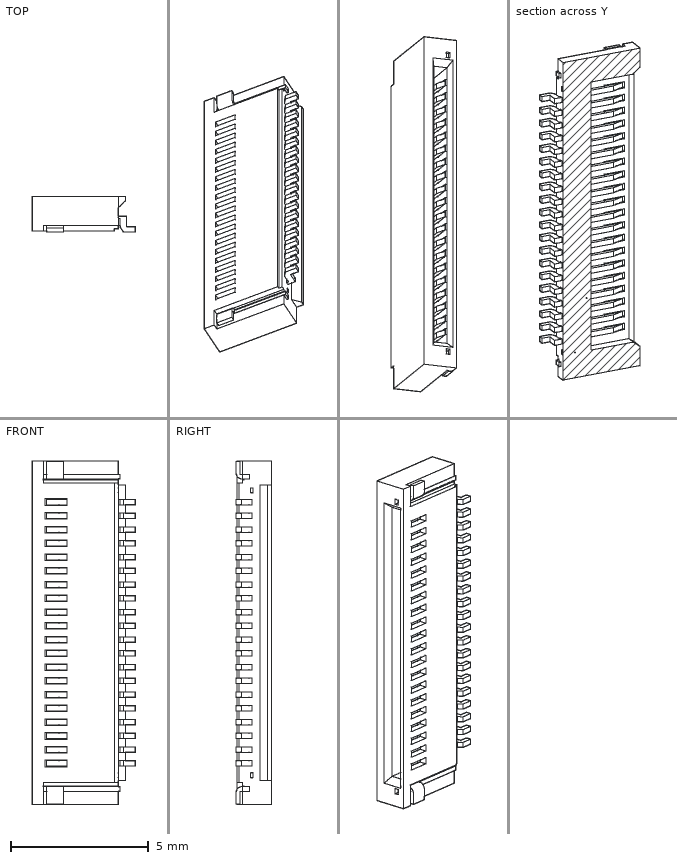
import cadquery as cq


height = 1.30
length = 12.5
depth = 3.13
standoff = 0.035
half_length = length / 2

embed = 0.10

end_step_start = 0.41
end_step_width = 0.80
end_step_floor = 0.25

rear_step_depth = 0.14
rear_step_floor = 0.12

lip_reach = 0.27
lip_edge = 0.15
lip_end_margin = 0.875
lip_length = length - 2 * lip_end_margin

mouth_bottom = 0.17
mouth_top = 0.955
mouth_end_wall = 0.77
flare_depth = 0.28
throat_bottom = 0.30
throat_top = 0.81
throat_end_wall = 0.99
cavity_depth = 2.0
roof_ramp_length = 0.25
roof_low = 0.66
rear_roof_chamfer = 0.04

slit_bottom = 0.54
slit_width = 0.17

contact_count = 20
pitch = 0.5
contact_width = 0.20
slot_width = 0.24
slot_start = 0.46
slot_end = 1.26
beam_start = 0.53
beam_bottom = 0.28
beam_top = 0.44
beam_tip_length = 0.45

tail_end = 3.75
tail_top = 0.58
tail_root_thickness = 0.10
tail_leg_front = 3.20
tail_leg_back = 3.43
foot_thickness = 0.20
foot_bevel_length = 0.12
foot_bevel_height = 0.17

plate_offset = 0.49
plate_thickness = 0.17
pocket_width = 0.20
pocket_top = 0.43
window_bottom = 0.29
plate_start = 0.15
plate_end = 3.20
plate_bottom = 0.24
plate_top = 0.50
plate_tip_chamfer = 0.03
tab_start = 0.53
tab_end = 1.14
tab_thickness = 0.15
tab_bend_radius = 0.23
tab_inset = 0.02


def box(x_range, y_range, z_range):
    """Box spanning the given (low, high) pairs."""
    sizes = [high - low for low, high in (x_range, y_range, z_range)]
    corner = (x_range[0], y_range[0], z_range[0])
    return cq.Workplane("XY").box(*sizes, centered=False).translate(corner)


def extrude_profile(points, width, z_center=0):
    """Closed XY outline extruded by `width`, centred on `z_center`."""
    start = z_center - width / 2
    return cq.Workplane("XY").workplane(offset=start).polyline(points).close().extrude(width)


def on_both_ends(upper_end):
    """The given shape and its mirror image at the other end of the housing."""
    return upper_end.union(upper_end.mirror("XY"))


def tapered_pocket(x_start, x_end, start_section, end_section):
    """Pocket along X between two (bottom, top, half-length) rectangular sections."""
    wires = []
    for x, (bottom, top, half) in ((x_start, start_section), (x_end, end_section)):
        corners = [(x, bottom, -half), (x, top, -half), (x, top, half), (x, bottom, half)]
        wires.append(cq.Wire.makePolygon([cq.Vector(*corner) for corner in corners], close=True))
    return cq.Workplane(obj=cq.Solid.makeLoft(wires, True))


def make_housing():
    lip_height = lip_reach + lip_edge
    outer = box((0, depth), (standoff, height), (-half_length, half_length))
    end_step = box(
        (end_step_start, depth), (standoff, end_step_floor), (half_length - end_step_width, half_length)
    )
    rear_start = depth - rear_step_depth
    rear_step = box((rear_start, depth), (standoff, rear_step_floor), (-half_length, half_length))
    lip_profile = [
        (depth - embed, height),
        (depth + lip_reach, height),
        (depth + lip_reach, height - lip_edge),
        (depth, height - lip_height),
        (depth - embed, height - lip_height),
    ]
    lip = extrude_profile(lip_profile, lip_length)
    return outer.cut(on_both_ends(end_step)).cut(rear_step).union(lip)


def make_cavity():
    mouth = (mouth_bottom, mouth_top, half_length - mouth_end_wall)
    throat_half = half_length - throat_end_wall
    throat = (throat_bottom, throat_top, throat_half)
    flare = tapered_pocket(0, flare_depth, mouth, throat)
    ramp_end = cavity_depth - rear_roof_chamfer
    slit_top = roof_low - rear_roof_chamfer
    throat_profile = [
        (flare_depth, throat_bottom),
        (flare_depth, throat_top),
        (ramp_end - roof_ramp_length, throat_top),
        (ramp_end, roof_low),
        (cavity_depth, slit_top),
        (cavity_depth, throat_bottom),
    ]
    throat_pocket = extrude_profile(throat_profile, 2 * throat_half)
    slit = box((flare_depth, depth), (slit_bottom, slit_top), (throat_half - slit_width, throat_half))
    return flare.union(throat_pocket).union(on_both_ends(slit))


def make_contact_slot(z):
    half = slot_width / 2
    return box((slot_start, slot_end), (standoff, beam_top), (z - half, z + half))


def make_beam(z):
    profile = [
        (beam_start, beam_bottom),
        (beam_start + beam_tip_length, beam_top),
        (cavity_depth + embed, beam_top),
        (cavity_depth + embed, beam_bottom),
    ]
    return extrude_profile(profile, contact_width, z)


def make_tail(z):
    root_bottom = tail_top - tail_root_thickness
    profile = [
        (depth - embed, tail_top),
        (tail_leg_back, tail_top),
        (tail_leg_back, foot_thickness),
        (tail_end, foot_thickness),
        (tail_end, 0),
        (tail_leg_front + foot_bevel_length, 0),
        (tail_leg_front, foot_bevel_height),
        (tail_leg_front, root_bottom),
        (depth - embed, root_bottom),
    ]
    return extrude_profile(profile, contact_width, z)


def make_plate_pocket():
    outer_z = half_length - plate_offset
    inner_z = outer_z - pocket_width
    window = box((0, end_step_start), (window_bottom, pocket_top), (inner_z, outer_z))
    channel = box((end_step_start, depth), (end_step_floor, window_bottom), (inner_z, outer_z))
    return window.union(channel)


def make_solder_tab():
    outer_z = half_length - plate_offset
    inner_z = outer_z - plate_thickness
    plate = box((plate_start, plate_end), (window_bottom, pocket_top), (inner_z, outer_z))
    plate = plate.edges("<X and >Y").chamfer(plate_tip_chamfer)
    root = box((end_step_start, plate_end), (plate_bottom, plate_top), (inner_z, outer_z))
    bent_leg = box((tab_start, tab_end), (0, pocket_top), (inner_z, outer_z))
    flat = box((tab_start, tab_end), (0, tab_thickness), (inner_z, half_length - tab_inset))
    bend = bent_leg.union(flat).edges("|X and <Y and <Z").fillet(tab_bend_radius)
    return plate.union(root).union(bend)


contact_places = [(i - (contact_count - 1) / 2) * pitch for i in range(contact_count)]

result = make_housing().cut(make_cavity()).cut(on_both_ends(make_plate_pocket()))
for place in contact_places:
    result = result.cut(make_contact_slot(place))
for place in contact_places:
    result = result.union(make_beam(place)).union(make_tail(place))
result = result.union(on_both_ends(make_solder_tab()))